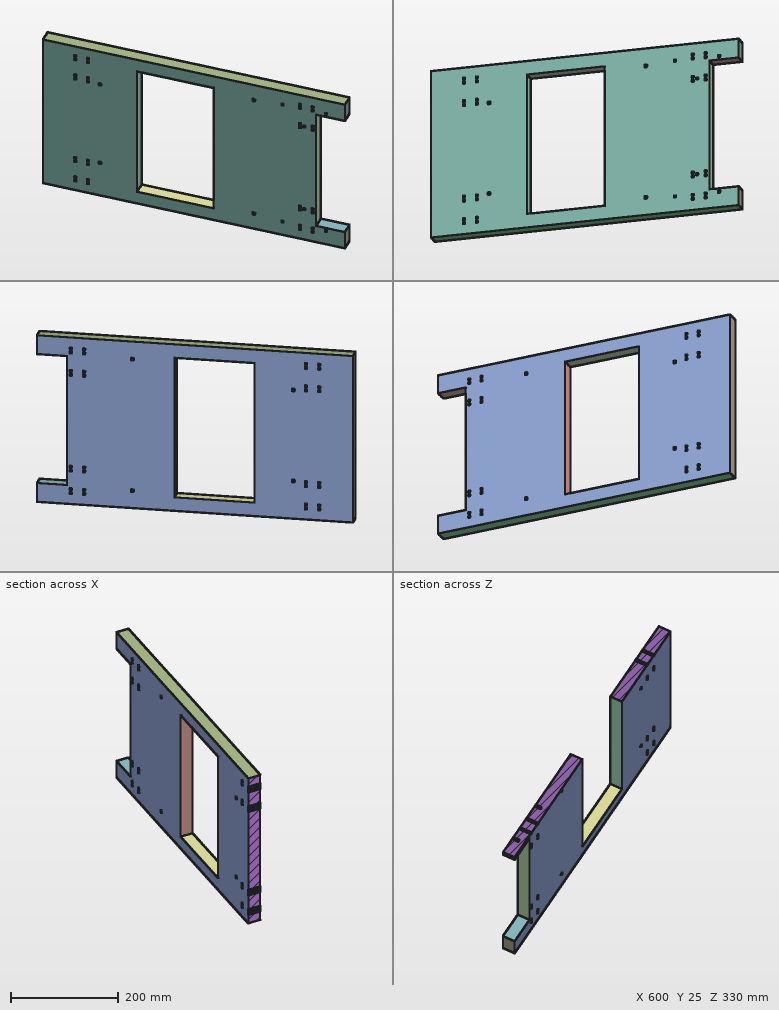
import cadquery as cq

LENGTH = 600.0
THICKNESS = 25.0
HEIGHT = 330.0

WINDOW_LEFT = -113.0
WINDOW_WIDTH = 152.0
WINDOW_HEIGHT = 276.0

NOTCH_DEPTH = 57.0
NOTCH_HEIGHT = 255.0

SCREW_DIAMETER = 3.9
CLUSTER_X = 223.0
CLUSTER_Z = (95.0, 139.0)
SCREW_PITCH_X = 25.0
SCREW_PITCH_Z = 8.0

BOLT_DIAMETER = 5.5
BOLT_PLACES = [(-186.5, 90.0), (119.0, 130.0)]

PILOT_DIAMETER = 4.0
PILOT_DEPTH = THICKNESS / 2
PILOT_PLACES = [(176.0, 134.5), (219.0, 95.0), (262.0, 134.5)]

BOTH_SIDES = (-1, 1)


def opening(left, width, height):
    """Rectangular cutter through the full thickness, centred on Z = 0."""
    return cq.Workplane("XY").box(width, THICKNESS, height).translate((left + width / 2, 0, 0))


def screw_places():
    """Centres of every screw hole on the upper half."""
    return [
        (end * CLUSTER_X + across * SCREW_PITCH_X / 2, cluster_z + up * SCREW_PITCH_Z / 2)
        for end in BOTH_SIDES
        for cluster_z in CLUSTER_Z
        for across in BOTH_SIDES
        for up in BOTH_SIDES
    ]


def drills(upper_places, diameter, depth):
    """Round cutters from the front face (-Y), at the places and their mirror images in Z."""
    places = [(x, side * z) for x, z in upper_places for side in BOTH_SIDES]
    front_face = cq.Workplane("XZ", origin=(0, -THICKNESS / 2, 0))
    return front_face.pushPoints(places).circle(diameter / 2).extrude(-depth)


board = cq.Workplane("XY").box(LENGTH, THICKNESS, HEIGHT)

result = (
    board.cut(opening(WINDOW_LEFT, WINDOW_WIDTH, WINDOW_HEIGHT))
    .cut(opening(LENGTH / 2 - NOTCH_DEPTH, NOTCH_DEPTH, NOTCH_HEIGHT))
    .cut(drills(screw_places(), SCREW_DIAMETER, THICKNESS))
    .cut(drills(BOLT_PLACES, BOLT_DIAMETER, THICKNESS))
    .cut(drills(PILOT_PLACES, PILOT_DIAMETER, PILOT_DEPTH))
)